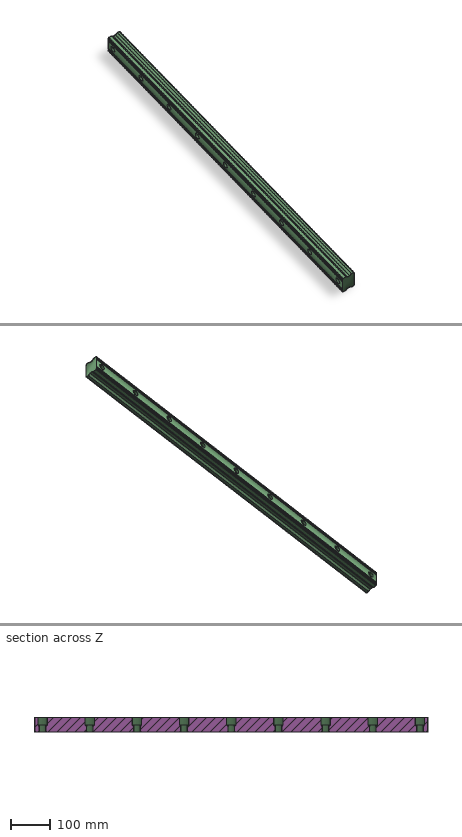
import cadquery as cq

length = 1000.0
height = 38.0
width = 53.0

head_chamfer = 3.0
base_chamfer = 2.0

groove_depth = 4.0
groove_bottom_edge = 11.0
groove_floor_start = 16.0
groove_floor_end = 23.0
groove_top_edge = 29.0

relief_width = 5.5
relief_depth = 0.5
relief_inset = 6.0

hole_count = 9
hole_pitch = 120.0
hole_diameter = 16.0
counterbore_diameter = 23.0
counterbore_depth = 20.0

half_width = width / 2
base_y = -height / 2
head_y = height / 2


def rail_body():
    """Extrude the symmetric cross-section; profile points are (Y, Z)."""
    upper_half = [
        (base_y, half_width - base_chamfer),
        (base_y + base_chamfer, half_width),
        (base_y + groove_bottom_edge, half_width),
        (base_y + groove_floor_start, half_width - groove_depth),
        (base_y + groove_floor_end, half_width - groove_depth),
        (base_y + groove_top_edge, half_width),
        (head_y - head_chamfer, half_width),
        (head_y, half_width - head_chamfer),
    ]
    lower_half = [(y, -z) for y, z in reversed(upper_half)]
    section = cq.Workplane("YZ").polyline(upper_half + lower_half).close()
    return section.extrude(length / 2, both=True)


def base_reliefs():
    """Cutters for the two full-length slots in the base face."""
    slot_z = half_width - relief_inset - relief_width / 2
    return (
        cq.Workplane("XZ", origin=(0, base_y + relief_depth, 0))
        .pushPoints([(0, slot_z), (0, -slot_z)])
        .rect(length, relief_width)
        .extrude(relief_depth)
    )


def mounting_holes():
    """Row of stepped cutters centred on the rail."""
    row = cq.Workplane("XZ", origin=(0, head_y, 0)).rarray(hole_pitch, 10, hole_count, 1)
    through_holes = row.circle(hole_diameter / 2).extrude(height)
    counterbores = row.circle(counterbore_diameter / 2).extrude(counterbore_depth)
    return through_holes.union(counterbores)


result = rail_body().cut(base_reliefs()).cut(mounting_holes())